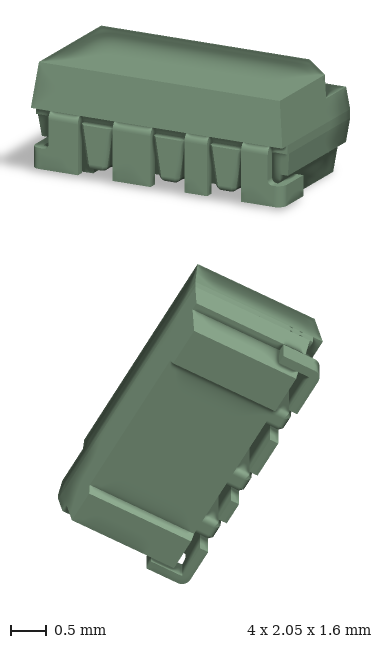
import cadquery as cq
import math

LENGTH = 4.0
WIDTH = 2.05
HEIGHT = 1.6
HALF_LENGTH = LENGTH / 2
HALF_WIDTH = WIDTH / 2

DRAFT_ANGLE = 7.2
DRAFT = math.tan(math.radians(DRAFT_ANGLE))

PLATE_BOTTOM = 0.8
PLATE_TOP = 0.93

WINDOW_HALF_X = 1.5
WINDOW_HALF_Y = 0.73
WINDOW_EDGE_HALF_X = 0.895
WINDOW_EDGE_HALF_Y = 0.38
WINDOW_DEPTH = 0.04
LEDGE_Z = 1.27
LEDGE_LEG = 0.605

BASE_FRONT_Y = -0.815
STEP_Z = 0.45
STEP_INSET = 0.115
RECESS_Z = 0.145
RECESS_SLOPE_RUN = 0.05
RECESS_LEFT_X = -1.17
RECESS_RIGHT_X = 1.28

RIB_FRONT_Y = -1.015
RIB_TOP_HALF_WIDTH = 0.25
RIB_BOTTOM_HALF_WIDTH = 0.15
RIB_CHAMFER = 0.055
RIB_FILLET = 0.09

PLATE_FRONT_Y = -0.87
LEAD_THICKNESS = PLATE_TOP - PLATE_BOTTOM
LEAD_BOTTOM = 0.05
LEAD_SPANS = [(-1.72, -1.25), (-0.7, -0.095), (0.445, 0.805), (1.345, 1.77)]
TAB_TOP = 0.36
TAB_END_Y = -0.39
TAB_INNER_RADIUS = 0.02
TAB_FILLET = 0.07
NOTCH_Y = [-0.52, -0.675]
NOTCH_RADIUS = 0.03
NOTCH_DEPTH = 0.04


def drafted_block(bottom, top, bottom_z, top_z):
    """Block whose rectangular ends are given as (x_min, x_max, y_min, y_max)."""
    def outline(x_min, x_max, y_min, y_max, z):
        corners = [(x_min, y_min, z), (x_max, y_min, z), (x_max, y_max, z), (x_min, y_max, z)]
        return cq.Wire.makePolygon([cq.Vector(*corner) for corner in corners], close=True)

    ends = [outline(*bottom, bottom_z), outline(*top, top_z)]
    return cq.Workplane(cq.Solid.makeLoft(ends, True))


def make_cap():
    inset = (HEIGHT - PLATE_TOP) * DRAFT
    top_x = HALF_LENGTH - inset
    top_y = HALF_WIDTH - inset
    cap = drafted_block(
        (-HALF_LENGTH, HALF_LENGTH, -HALF_WIDTH, HALF_WIDTH),
        (-top_x, top_x, -top_y, top_y),
        PLATE_TOP,
        HEIGHT,
    )

    ledge_inset = (LEDGE_Z - PLATE_TOP) * DRAFT
    corner_x = HALF_LENGTH - ledge_inset
    corner_y = HALF_WIDTH - ledge_inset
    corner = (
        cq.Workplane("XY", origin=(0, 0, LEDGE_Z))
        .moveTo(corner_x - LEDGE_LEG, corner_y)
        .lineTo(corner_x, corner_y)
        .lineTo(corner_x, corner_y - LEDGE_LEG)
        .close()
        .extrude(HEIGHT - LEDGE_Z)
    )
    cap = cap.cut(corner)

    window = (
        cq.Workplane("XY", origin=(0, 0, HEIGHT - WINDOW_DEPTH))
        .polyline([
            (-WINDOW_EDGE_HALF_X, -WINDOW_HALF_Y),
            (WINDOW_EDGE_HALF_X, -WINDOW_HALF_Y),
            (WINDOW_HALF_X, -WINDOW_EDGE_HALF_Y),
            (WINDOW_HALF_X, WINDOW_EDGE_HALF_Y),
            (WINDOW_EDGE_HALF_X, WINDOW_HALF_Y),
            (-WINDOW_EDGE_HALF_X, WINDOW_HALF_Y),
            (-WINDOW_HALF_X, WINDOW_EDGE_HALF_Y),
            (-WINDOW_HALF_X, -WINDOW_EDGE_HALF_Y),
        ])
        .close()
        .extrude(WINDOW_DEPTH)
    )
    return cap.cut(window).union(window, clean=False)


def make_rib(center_x):
    """Upright rib, narrower at its foot, with bevelled corners and a rounded lower rim."""
    back_y = BASE_FRONT_Y + PLATE_BOTTOM * DRAFT
    rib = (
        cq.Workplane("XZ", origin=(center_x, back_y, 0))
        .moveTo(-RIB_TOP_HALF_WIDTH, PLATE_BOTTOM)
        .lineTo(RIB_TOP_HALF_WIDTH, PLATE_BOTTOM)
        .lineTo(RIB_BOTTOM_HALF_WIDTH, RECESS_Z)
        .lineTo(-RIB_BOTTOM_HALF_WIDTH, RECESS_Z)
        .close()
        .extrude(back_y - RIB_FRONT_Y)
    )
    rib = rib.faces("<Y").edges("not #Z").chamfer(RIB_CHAMFER)
    return rib.faces("<Z").edges("not >Y").fillet(RIB_FILLET)


def make_base():
    inset = PLATE_BOTTOM * DRAFT
    bottom_x = HALF_LENGTH - inset
    base = drafted_block(
        (-bottom_x, bottom_x, BASE_FRONT_Y + inset, HALF_WIDTH - inset),
        (-HALF_LENGTH, HALF_LENGTH, BASE_FRONT_Y, HALF_WIDTH),
        0,
        PLATE_BOTTOM,
    )

    foot_x = bottom_x - STEP_INSET
    step_x = foot_x + STEP_Z * DRAFT
    for side in (-1, 1):
        undercut = (
            cq.Workplane("XZ", origin=(0, HALF_WIDTH, 0))
            .moveTo(side * foot_x, 0)
            .lineTo(side * step_x, STEP_Z)
            .lineTo(side * HALF_LENGTH, STEP_Z)
            .lineTo(side * HALF_LENGTH, 0)
            .close()
            .extrude(WIDTH)
        )
        base = base.cut(undercut)

    recess = (
        cq.Workplane("XZ", origin=(0, HALF_WIDTH, 0))
        .moveTo(RECESS_LEFT_X, 0)
        .lineTo(RECESS_LEFT_X + RECESS_SLOPE_RUN, RECESS_Z)
        .lineTo(RECESS_RIGHT_X - RECESS_SLOPE_RUN, RECESS_Z)
        .lineTo(RECESS_RIGHT_X, 0)
        .close()
        .extrude(WIDTH)
    )
    base = base.cut(recess)

    for left_lead, right_lead in zip(LEAD_SPANS, LEAD_SPANS[1:]):
        base = base.union(make_rib((left_lead[1] + right_lead[0]) / 2))
    return base


def make_lead(x_min, x_max):
    """Lead leaving the plate and bending down over its front edge."""
    inner_y = -HALF_WIDTH + LEAD_THICKNESS
    arc_reach = LEAD_THICKNESS * math.sqrt(0.5)
    return (
        cq.Workplane("YZ", origin=(x_min, 0, 0))
        .moveTo(PLATE_FRONT_Y, PLATE_BOTTOM)
        .lineTo(PLATE_FRONT_Y, PLATE_TOP)
        .lineTo(inner_y, PLATE_TOP)
        .threePointArc((inner_y - arc_reach, PLATE_BOTTOM + arc_reach), (-HALF_WIDTH, PLATE_BOTTOM))
        .lineTo(-HALF_WIDTH, LEAD_BOTTOM)
        .lineTo(inner_y, LEAD_BOTTOM)
        .lineTo(inner_y, PLATE_BOTTOM)
        .close()
        .extrude(x_max - x_min)
    )


def make_tab(lead_x, side):
    """Tab at the foot of an end lead, wrapped round the corner of the part."""
    outer_x = side * HALF_LENGTH
    inner_x = side * (HALF_LENGTH - LEAD_THICKNESS)
    inner_y = -HALF_WIDTH + LEAD_THICKNESS
    tab = (
        cq.Workplane("XY", origin=(0, 0, LEAD_BOTTOM))
        .moveTo(lead_x, -HALF_WIDTH)
        .lineTo(outer_x, -HALF_WIDTH)
        .lineTo(outer_x, TAB_END_Y)
        .lineTo(inner_x, TAB_END_Y)
        .lineTo(inner_x, inner_y)
        .lineTo(lead_x, inner_y)
        .close()
        .extrude(TAB_TOP - LEAD_BOTTOM)
    )
    outer_edge = cq.selectors.NearestToPointSelector((outer_x, -HALF_WIDTH, TAB_TOP / 2))
    inner_edge = cq.selectors.NearestToPointSelector((inner_x, inner_y, TAB_TOP / 2))
    tab = tab.edges(outer_edge).fillet(LEAD_THICKNESS)
    return tab.edges(inner_edge).fillet(TAB_INNER_RADIUS)


def make_frame():
    frame = cq.Workplane("XY", origin=(0, 0, PLATE_BOTTOM)).box(
        LENGTH, HALF_WIDTH - PLATE_FRONT_Y, LEAD_THICKNESS, centered=(True, False, False)
    ).translate((0, PLATE_FRONT_Y, 0))

    for y in NOTCH_Y:
        for z in (PLATE_BOTTOM, PLATE_TOP):
            center = (-HALF_LENGTH, y, z)
            notch = cq.Workplane("YZ", origin=center).circle(NOTCH_RADIUS).extrude(NOTCH_DEPTH)
            frame = frame.cut(notch)

    for x_min, x_max in LEAD_SPANS:
        frame = frame.union(make_lead(x_min, x_max))

    for side, lead_x in ((-1, LEAD_SPANS[0][0]), (1, LEAD_SPANS[-1][1])):
        frame = frame.union(make_tab(lead_x, side))
        meeting_edge = cq.selectors.NearestToPointSelector(
            (lead_x, -HALF_WIDTH + LEAD_THICKNESS / 2, TAB_TOP)
        )
        frame = frame.edges(meeting_edge).fillet(TAB_FILLET)
    return frame


cap = make_cap()
base = make_base()
frame = make_frame()

result = cq.Compound.makeCompound([body.solids().val() for body in (cap, base, frame)])